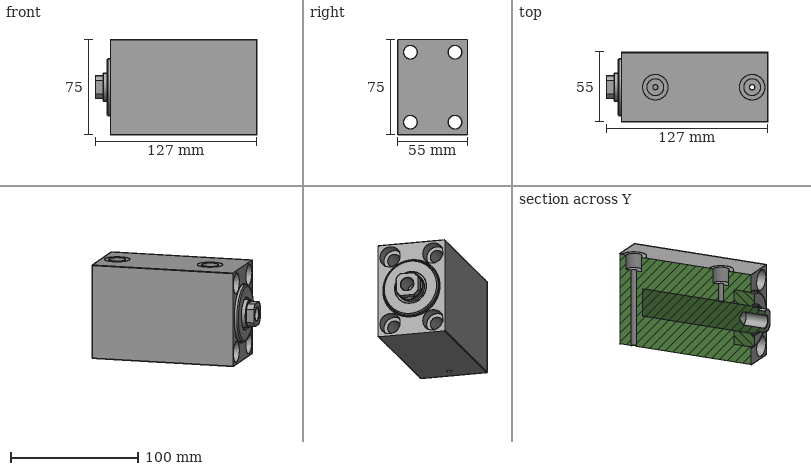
import cadquery as cq
import math


overall_length = 127.0
housing_front = 11.8
housing_width = 55.0
housing_height = 75.0
housing_length = overall_length - housing_front
edge_chamfer = 0.5

bolt_spacing_y = 35.0
bolt_spacing_z = 55.0
bolt_hole_diameter = 10.5
bolt_head_diameter = 16.5
bolt_head_depth = 10.8

port_spacing = 76.1
rear_port_inset = 12.5
rear_port_x = overall_length - rear_port_inset
front_port_x = rear_port_x - port_spacing
port_face_diameter = 20.1
port_face_depth = 0.1
port_thread_diameter = 13.2
port_depth = 12.0
drill_diameter = 4.1

gland_diameter = 45.0
gland_front = 9.0
gland_depth = 15.2
gland_chamfer = 1.0
gland_rear = housing_front + gland_depth
gland_seat_chamfer = 1.0
wiper_recess_diameter = 25.9
wiper_recess_depth = 1.5

rod_diameter = 22.2
rod_front = 6.0
rod_rear = 106.7
rod_chamfer = 0.5
rod_end_diameter = 21.0
wrench_flat_width = 18.0
rod_thread_diameter = 10.5
rod_thread_chamfer = 0.3
rod_thread_depth = 19.0
drill_point_angle = 118.0


def x_cylinder(diameter, x_start, x_end):
    """Cylinder on the rod axis between two X positions."""
    return cq.Workplane("YZ", origin=(x_start, 0, 0)).circle(diameter / 2).extrude(x_end - x_start)


def x_cone(diameter, x_base, height):
    """Cone on the rod axis, its base at x_base and its apex further along +X."""
    return cq.Workplane(cq.Solid.makeCone(
        diameter / 2, 0, height, pnt=cq.Vector(x_base, 0, 0), dir=cq.Vector(1, 0, 0)
    ))


def z_cylinder(diameter, x, z_top, depth):
    """Vertical cylinder on the Y = 0 plane, running down from z_top."""
    return cq.Workplane("XY", origin=(x, 0, z_top)).circle(diameter / 2).extrude(-depth)


def cut_bolt_holes(block):
    """Four through holes, counterbored from the front face."""
    return (
        block.faces("<X").workplane(origin=(housing_front, 0, 0))
        .rect(bolt_spacing_y, bolt_spacing_z, forConstruction=True).vertices()
        .cboreHole(bolt_hole_diameter, bolt_head_diameter, bolt_head_depth)
    )


def cut_port(block, x, drill_depth):
    """Threaded port with a shallow sealing face and a small drilled passage below it."""
    top = housing_height / 2
    block = block.cut(z_cylinder(port_face_diameter, x, top, port_face_depth))
    block = block.cut(z_cylinder(port_thread_diameter, x, top, port_depth))
    return block.cut(z_cylinder(drill_diameter, x, top, drill_depth))


def make_housing():
    block = (
        cq.Workplane("XY").box(housing_length, housing_width, housing_height)
        .translate((housing_front + housing_length / 2, 0, 0))
        .edges("|X").chamfer(edge_chamfer)
    )
    block = cut_bolt_holes(block)
    block = cut_port(block, front_port_x, housing_height / 2)
    block = cut_port(block, rear_port_x, housing_height)
    block = block.cut(x_cylinder(gland_diameter, housing_front, gland_rear))
    mouth_radius = gland_diameter / 2 + gland_seat_chamfer
    block = block.cut(x_cone(2 * mouth_radius, housing_front, mouth_radius))
    return block.cut(x_cylinder(rod_diameter, housing_front, rod_rear))


def make_gland():
    ring = x_cylinder(gland_diameter, gland_front, gland_rear).faces("<X").chamfer(gland_chamfer)
    ring = ring.cut(x_cylinder(wiper_recess_diameter, gland_front, gland_front + wiper_recess_depth))
    return ring.cut(x_cylinder(rod_diameter, gland_front, gland_rear))


def make_rod():
    shaft = x_cylinder(rod_diameter, rod_front, rod_rear).faces("<X").chamfer(rod_chamfer)
    flats = cq.Workplane("YZ").rect(wrench_flat_width, wrench_flat_width).extrude(rod_front)
    shaft = shaft.union(x_cylinder(rod_end_diameter, 0, rod_front).intersect(flats))
    mouth_radius = rod_thread_diameter / 2 + rod_thread_chamfer
    shaft = shaft.cut(x_cone(2 * mouth_radius, 0, mouth_radius))
    point_height = rod_thread_diameter / 2 / math.tan(math.radians(drill_point_angle / 2))
    shaft = shaft.cut(x_cylinder(rod_thread_diameter, 0, rod_thread_depth))
    return shaft.cut(x_cone(rod_thread_diameter, rod_thread_depth, point_height))


housing = make_housing().solids()
gland = make_gland().solids()
rod = make_rod().solids()

result = cq.Compound.makeCompound([housing.val(), gland.val(), rod.val()])